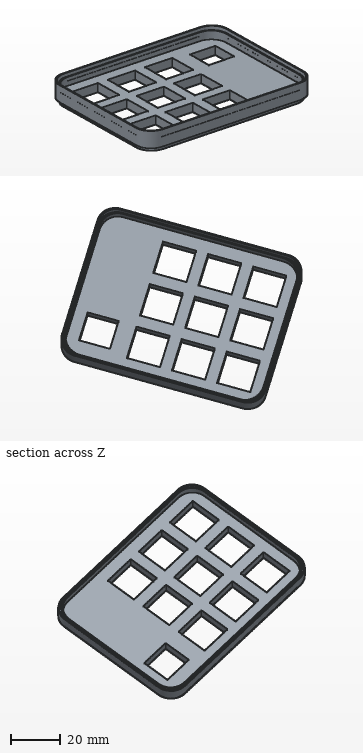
import cadquery as cq

width = 65.9
length = 85.95
height = 9.6
corner_radius = 7.6

base_inset = 1.1
base_height = 1.9

wall_step = 0.5
lip_drop = 1.5
groove_depth = 3.4
floor_thickness = 4.2

key_size = 14.0
key_pitch = 19.04
key_count = 3
key_grid_center_y = -10.6

window_width = 12.5
window_length = 13.1
window_x = -18.0
window_y = 29.65


def rounded_block(inset, bottom, top, radius):
    """Block inset from the envelope, with rounded vertical corners."""
    return (
        cq.Workplane("XY", origin=(0, 0, bottom))
        .rect(width - 2 * inset, length - 2 * inset)
        .extrude(top - bottom)
        .edges("|Z")
        .fillet(radius)
    )


def through_opening(x, y, size_x, size_y):
    """Cutter that passes through the whole floor."""
    return cq.Workplane("XY").center(x, y).rect(size_x, size_y).extrude(height)


base = rounded_block(base_inset, 0, base_height, corner_radius)
upper_body = rounded_block(0, base_height, height, corner_radius)
result = base.union(upper_body)

pocket = rounded_block(3 * wall_step, floor_thickness, height, corner_radius)
lip_recess = rounded_block(wall_step, height - lip_drop, height, corner_radius)
result = result.cut(pocket).cut(lip_recess)

groove_outer = rounded_block(wall_step, height - groove_depth, height, corner_radius)
groove_inner = rounded_block(2 * wall_step, height - groove_depth, height, corner_radius)
result = result.cut(groove_outer.cut(groove_inner))

for column in range(key_count):
    for row in range(key_count):
        key_x = (column - (key_count - 1) / 2) * key_pitch
        key_y = key_grid_center_y + (row - (key_count - 1) / 2) * key_pitch
        result = result.cut(through_opening(key_x, key_y, key_size, key_size))

result = result.cut(through_opening(window_x, window_y, window_width, window_length))